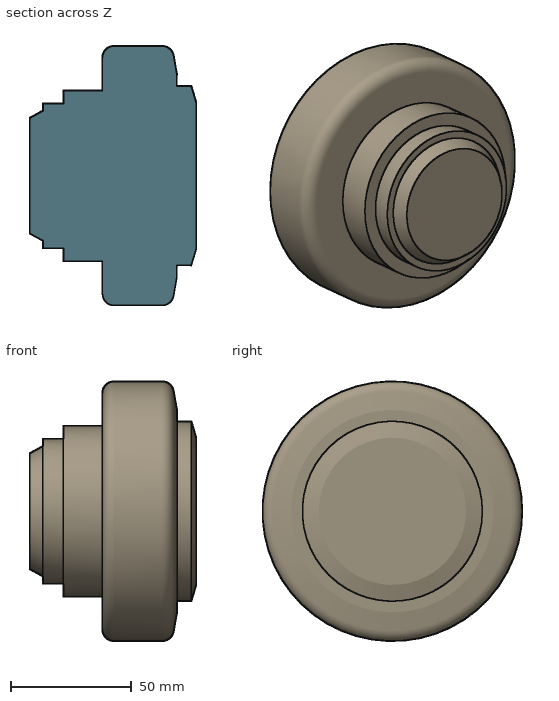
import cadquery as cq
import math

nose_tip_radius = 24.0
nose_base_radius = 27.0
spigot_radius = 30.0
hub_radius = 35.4
flange_radius = 53.8
flange_face_radius = 41.9
boss_radius = 37.3
boss_tip_radius = 30.5

total_length = 69.0
nose_length = 5.5
spigot_length = 8.5
hub_length = 16.0
flange_rim_length = 29.7
boss_chamfer_length = 2.0

edge_fillet = 5.0
back_taper = math.radians(10)

hub_start = -hub_length
spigot_start = hub_start - spigot_length
nose_start = spigot_start - nose_length
boss_end = nose_start + total_length
boss_chamfer_start = boss_end - boss_chamfer_length

arc_center_radius = flange_radius - edge_fillet
front_arc_x = edge_fillet
back_arc_x = flange_rim_length - edge_fillet


def arc_point(center_x, angle):
    """Point on a flange edge arc, angle measured from the +X direction."""
    return (
        center_x + edge_fillet * math.cos(angle),
        arc_center_radius + edge_fillet * math.sin(angle),
    )


taper_start = arc_point(back_arc_x, back_taper)
back_arc_middle = arc_point(back_arc_x, (back_taper + math.pi / 2) / 2)
front_arc_middle = arc_point(front_arc_x, 3 * math.pi / 4)
flange_face_x = taper_start[0] + (taper_start[1] - flange_face_radius) * math.tan(back_taper)

profile = (
    cq.Workplane("XY")
    .moveTo(nose_start, 0)
    .lineTo(nose_start, nose_tip_radius)
    .lineTo(spigot_start, nose_base_radius)
    .lineTo(spigot_start, spigot_radius)
    .lineTo(hub_start, spigot_radius)
    .lineTo(hub_start, hub_radius)
    .lineTo(0, hub_radius)
    .lineTo(0, arc_center_radius)
    .threePointArc(front_arc_middle, (front_arc_x, flange_radius))
    .lineTo(back_arc_x, flange_radius)
    .threePointArc(back_arc_middle, taper_start)
    .lineTo(flange_face_x, flange_face_radius)
    .lineTo(flange_face_x, boss_radius)
    .lineTo(boss_chamfer_start, boss_radius)
    .lineTo(boss_end, boss_tip_radius)
    .lineTo(boss_end, 0)
    .close()
)

result = profile.revolve(360, (0, 0, 0), (1, 0, 0))